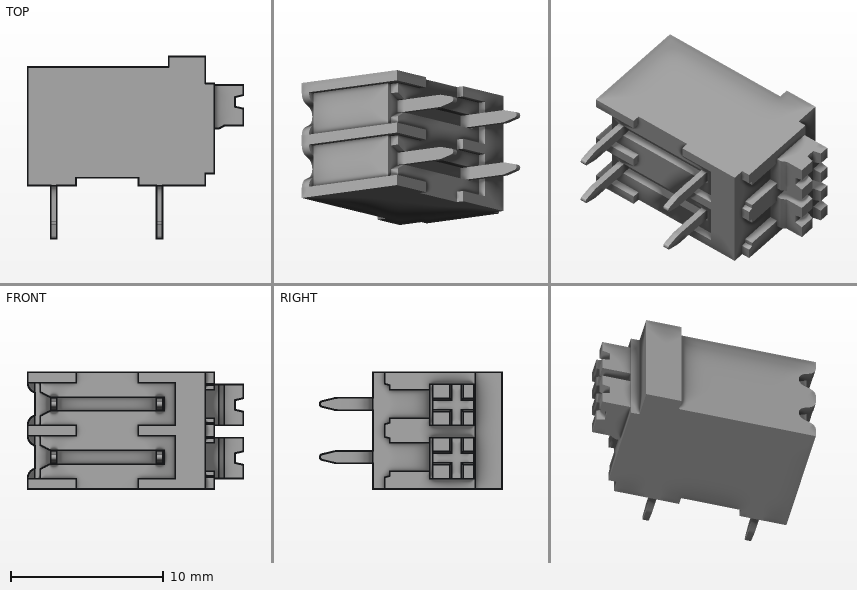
import cadquery as cq
import math


POLE_COUNT = 2
POLE_PITCH = 3.5
HOUSING_HEIGHT = 7.7
MIDDLE_WALL = 0.67
CELL_HEIGHT = POLE_PITCH - MIDDLE_WALL
POLE_CENTERS = [HOUSING_HEIGHT / 2 + (i - (POLE_COUNT - 1) / 2) * POLE_PITCH for i in range(POLE_COUNT)]

BODY_LENGTH = 11.7
BODY_DEPTH = 7.81
RIB_LENGTH = 2.41
RIB_DEPTH = 0.7
END_PLATE_THICKNESS = 0.58
END_PLATE_Y_MIN = 0.8
END_PLATE_Y_MAX = 6.73
END_X = BODY_LENGTH + END_PLATE_THICKNESS
FOOT_DEPTH = 0.51
FOOT_GAP_START = 3.2
FOOT_GAP_END = 7.28

POCKET_END_X = 9.7
FRONT_SETBACK = 0.48
RIDGE_SETBACK = 0.82
SLOT_FLOOR_Y = 1.1
SLOT_HEIGHT = 0.91
SLOT_START_X = 1.48
SLOT_END_X = 9.0
SLOT_MOUTH_HEIGHT = 1.59

BACK_PLATE_THICKNESS = 0.6
BACK_PLATE_Y = BODY_DEPTH - BACK_PLATE_THICKNESS
NOTCH_RADIUS = 0.7
NOTCH_ARC_ANGLE = math.radians(67)

LEVER_HEIGHT = 2.7
LEVER_TIP_X = 14.2
LEVER_Y_MIN = 3.75
LEVER_TIP_Y_MIN = 3.95
LEVER_Y_MAX = 6.63
LEVER_RAMP_START_X = 12.58
LEVER_RAMP_END_X = 12.95
DRIVE_SLOT_Y = 5.51
DRIVE_SLOT_DEPTH = 0.54
DRIVE_SLOT_MOUTH = 0.88
DRIVE_SLOT_FLOOR = 0.62

GUIDE_GAP_HEIGHT = 1.87
GUIDE_MOUTH_HEIGHT = 2.65
GUIDE_THROAT_HEIGHT = 2.48
GUIDE_LEAD_IN = 0.31
GUIDE_TAB_Y = END_PLATE_Y_MIN + GUIDE_LEAD_IN

PIN_THICKNESS = 0.41
PIN_WIDTH = 0.82
PIN_PITCH = 6.96
FIRST_PIN_X = 1.52
PIN_STARTS = [FIRST_PIN_X, FIRST_PIN_X + PIN_PITCH]
PIN_TIP_Y = -3.5
PIN_TIP_RADIUS = 0.2
PIN_TAPER_LENGTH = 1.05
PIN_TAPER_BLEND_RADIUS = 0.85
PIN_TAPER_END_WIDTH = 0.37
BAR_THICKNESS = 0.4


def block(x_range, y_range, z_range):
    """Axis-aligned box between the given limits."""
    size = [high - low for low, high in (x_range, y_range, z_range)]
    return cq.Workplane("XY").box(*size, centered=False).translate((x_range[0], y_range[0], z_range[0]))


def centered_block(x_range, y_range, height, z_center):
    """Box of a given height, centered on a pole."""
    return block(x_range, y_range, (z_center - height / 2, z_center + height / 2))


def along_y(points, y_range, z_center):
    """Closed X-Z polygon about a pole's center, extruded over a range of Y."""
    low, high = y_range
    prism = cq.Workplane("XZ").polyline(points).close().extrude(low - high)
    return prism.translate((0, low, z_center))


def lever_z_range(z_center):
    """A lever rests on the lower wall of its cell."""
    bottom = z_center - CELL_HEIGHT / 2
    return bottom, bottom + LEVER_HEIGHT


def housing_shell():
    """Solid body with its back rib, end plate and the gap between the feet."""
    body = block((0, BODY_LENGTH), (0, BODY_DEPTH), (0, HOUSING_HEIGHT))
    rib = block(
        (BODY_LENGTH - RIB_LENGTH, BODY_LENGTH),
        (BODY_DEPTH, BODY_DEPTH + RIB_DEPTH),
        (0, HOUSING_HEIGHT),
    )
    end_plate = block((BODY_LENGTH, END_X), (END_PLATE_Y_MIN, END_PLATE_Y_MAX), (0, HOUSING_HEIGHT))
    foot_gap = block((FOOT_GAP_START, FOOT_GAP_END), (0, FOOT_DEPTH), (0, HOUSING_HEIGHT))
    return body.union(rib).union(end_plate).cut(foot_gap)


def cell_recess(z_center):
    """Space between the walls, stepped around the front of the core and its land."""
    pin_side = centered_block((0, POCKET_END_X), (0, FOOT_DEPTH), CELL_HEIGHT, z_center)
    land_front = centered_block((0, RIDGE_SETBACK), (0, SLOT_FLOOR_Y), CELL_HEIGHT, z_center)
    core_front = centered_block((0, FRONT_SETBACK), (0, BACK_PLATE_Y), CELL_HEIGHT, z_center)
    return pin_side.union(land_front).union(core_front)


def contact_slot(z_center):
    """Slot with a flared mouth, plus the bed of the contact bar under its floor."""
    mouth = SLOT_MOUTH_HEIGHT / 2
    half = SLOT_HEIGHT / 2
    outline = [
        (RIDGE_SETBACK, mouth),
        (SLOT_START_X, half),
        (SLOT_END_X, half),
        (SLOT_END_X, -half),
        (SLOT_START_X, -half),
        (RIDGE_SETBACK, -mouth),
    ]
    slot = along_y(outline, (FOOT_DEPTH, SLOT_FLOOR_Y), z_center)
    return slot.union(contact_bar(z_center))


def wire_notch(z_center):
    """Rounded lips running through short tapers into a round-bottomed notch."""
    lip_drop = NOTCH_RADIUS * math.sin(NOTCH_ARC_ANGLE)
    lip_depth = NOTCH_RADIUS * (1 - math.cos(NOTCH_ARC_ANGLE))
    mid_drop = NOTCH_RADIUS * math.sin(NOTCH_ARC_ANGLE / 2)
    mid_depth = NOTCH_RADIUS * (1 - math.cos(NOTCH_ARC_ANGLE / 2))
    half = CELL_HEIGHT / 2
    taper_end_depth = lip_depth + (half - 2 * lip_drop) * math.tan(NOTCH_ARC_ANGLE)
    notch = (
        cq.Workplane("XZ")
        .moveTo(0, half)
        .threePointArc((mid_depth, half - mid_drop), (lip_depth, half - lip_drop))
        .lineTo(taper_end_depth, lip_drop)
        .threePointArc((taper_end_depth + lip_depth, 0), (taper_end_depth, -lip_drop))
        .lineTo(lip_depth, lip_drop - half)
        .threePointArc((mid_depth, mid_drop - half), (0, -half))
        .close()
        .extrude(-BACK_PLATE_THICKNESS)
    )
    return notch.translate((0, BACK_PLATE_Y, z_center))


def lever_guide(z_center):
    """Tapered lead-in, a gap between two tabs, and the lever's own window behind them."""
    throat = GUIDE_THROAT_HEIGHT / 2
    mouth = GUIDE_MOUTH_HEIGHT / 2
    lead_in = (
        cq.Workplane("YZ")
        .polyline([
            (END_PLATE_Y_MIN, mouth),
            (GUIDE_TAB_Y, throat),
            (GUIDE_TAB_Y, -throat),
            (END_PLATE_Y_MIN, -mouth),
        ])
        .close()
        .extrude(END_PLATE_THICKNESS)
        .translate((BODY_LENGTH, 0, z_center))
    )
    gap = centered_block((BODY_LENGTH, END_X), (GUIDE_TAB_Y, LEVER_Y_MIN), GUIDE_GAP_HEIGHT, z_center)
    window = block((BODY_LENGTH, END_X), (LEVER_Y_MIN, LEVER_Y_MAX), lever_z_range(z_center))
    return lead_in.union(gap).union(window)


def make_housing():
    """Shell with the recesses, slot, notch and lever guide of every pole cut out."""
    housing = housing_shell()
    for z_center in POLE_CENTERS:
        for cutter in (cell_recess, contact_slot, wire_notch, lever_guide):
            housing = housing.cut(cutter(z_center))
    return housing


def drive_slot(plane):
    """Tapered slot across the lever tip, centered on the X axis of the given plane."""
    floor_x = LEVER_TIP_X - DRIVE_SLOT_DEPTH
    return (
        cq.Workplane(plane)
        .polyline([
            (LEVER_TIP_X, DRIVE_SLOT_MOUTH / 2),
            (floor_x, DRIVE_SLOT_FLOOR / 2),
            (floor_x, -DRIVE_SLOT_FLOOR / 2),
            (LEVER_TIP_X, -DRIVE_SLOT_MOUTH / 2),
        ])
        .close()
        .extrude(HOUSING_HEIGHT, both=True)
    )


def make_lever(z_center):
    """Push lever, thinner at the tip, with a cross of drive slots in its end."""
    bottom, top = lever_z_range(z_center)
    lever = (
        cq.Workplane("XY")
        .workplane(offset=bottom)
        .polyline([
            (BODY_LENGTH, LEVER_Y_MIN),
            (LEVER_RAMP_START_X, LEVER_Y_MIN),
            (LEVER_RAMP_END_X, LEVER_TIP_Y_MIN),
            (LEVER_TIP_X, LEVER_TIP_Y_MIN),
            (LEVER_TIP_X, LEVER_Y_MAX),
            (BODY_LENGTH, LEVER_Y_MAX),
        ])
        .close()
        .extrude(LEVER_HEIGHT)
    )
    for plane in ("XY", "XZ"):
        lever = lever.cut(drive_slot(plane).translate((0, DRIVE_SLOT_Y, (bottom + top) / 2)))
    return lever


def contact_bar(z_center):
    """Bar forming the floor of the slot and joining the two pins."""
    return centered_block(
        (PIN_STARTS[0], SLOT_END_X),
        (SLOT_FLOOR_Y, SLOT_FLOOR_Y + BAR_THICKNESS),
        SLOT_HEIGHT,
        z_center,
    )


def contact_pin(start_x, z_center):
    """Flat pin with a tapered, rounded tip and softened taper shoulders."""
    half = PIN_WIDTH / 2
    tip_half = PIN_TAPER_END_WIDTH / 2
    taper_start_y = PIN_TIP_Y + PIN_TAPER_LENGTH
    taper_end_y = PIN_TIP_Y + PIN_TIP_RADIUS - math.sqrt(PIN_TIP_RADIUS**2 - tip_half**2)
    pin = (
        cq.Workplane("YZ")
        .moveTo(SLOT_FLOOR_Y, half)
        .lineTo(taper_start_y, half)
        .lineTo(taper_end_y, tip_half)
        .threePointArc((PIN_TIP_Y, 0), (taper_end_y, -tip_half))
        .lineTo(taper_start_y, -half)
        .lineTo(SLOT_FLOOR_Y, -half)
        .close()
        .extrude(PIN_THICKNESS)
    )
    taper_shoulders = cq.selectors.BoxSelector(
        (0, (taper_start_y + taper_end_y) / 2, -PIN_WIDTH),
        (PIN_THICKNESS, 0, PIN_WIDTH),
    )
    pin = pin.edges("|X").edges(taper_shoulders).fillet(PIN_TAPER_BLEND_RADIUS)
    return pin.translate((start_x, 0, z_center))


def make_contact(z_center):
    """U-shaped contact: the bar and its two pins as one solid."""
    contact = contact_bar(z_center)
    for start_x in PIN_STARTS:
        contact = contact.union(contact_pin(start_x, z_center))
    return contact


housing = make_housing()
levers = [make_lever(z_center) for z_center in POLE_CENTERS]
contacts = [make_contact(z_center) for z_center in POLE_CENTERS]

result = cq.Compound.makeCompound([body.solids().val() for body in [housing, *levers, *contacts]])